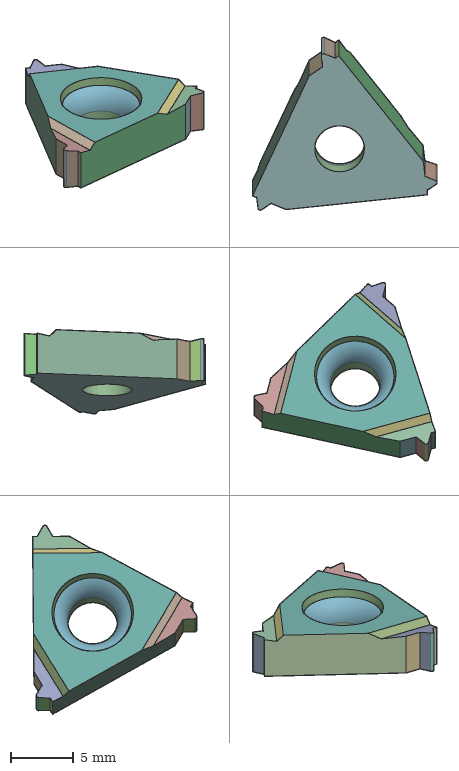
import cadquery as cq
import math

overall_length = 14.84
thickness = 3.65
inscribed_radius = 4.76
corner_count = 3
corner_angle = 360.0 / corner_count

land_distance = 6.55
tooth_offset = 1.0
tooth_flank_angle = math.radians(30)
tooth_tip_radius = 0.2

groove_start = 5.02
groove_depth = 0.53
groove_wall_angle = math.radians(45)
rake_angle = math.radians(10)

bore_radius = 1.99
mouth_radius = 3.26
seat_radius = 3.1
mouth_depth = 0.61
seat_arc_radius = 1.93

turn = math.radians(corner_angle)
top_reach = inscribed_radius * math.sin(turn) - land_distance * math.cos(turn)
tip_distance = overall_length - top_reach


def turned(x, y, angle):
    """Rotate a point about the insert centre, with the angle in degrees."""
    a = math.radians(angle)
    return (x * math.cos(a) - y * math.sin(a), x * math.sin(a) + y * math.cos(a))


def insert_body():
    """Triangular plate with flattened corners, each carrying one rounded tooth."""
    land_start = (inscribed_radius - land_distance * math.sin(turn)) / math.cos(turn)

    tooth_x = inscribed_radius - tooth_offset
    tip_centre = tip_distance - tooth_tip_radius
    tangent_half_width = tooth_tip_radius * math.cos(tooth_flank_angle)
    tangent_y = tip_centre + tooth_tip_radius * math.sin(tooth_flank_angle)
    flank_run = (tangent_y - land_distance) * math.tan(tooth_flank_angle)
    root_half_width = tangent_half_width + flank_run

    outline = cq.Workplane("XY").moveTo(land_start, -land_distance)
    for index in range(corner_count):
        angle = index * corner_angle
        if index > 0:
            outline = outline.lineTo(*turned(land_start, -land_distance, angle))
        outline = (
            outline.lineTo(*turned(tooth_x - root_half_width, -land_distance, angle))
            .lineTo(*turned(tooth_x - tangent_half_width, -tangent_y, angle))
            .threePointArc(
                turned(tooth_x, -tip_distance, angle),
                turned(tooth_x + tangent_half_width, -tangent_y, angle),
            )
            .lineTo(*turned(tooth_x + root_half_width, -land_distance, angle))
            .lineTo(*turned(inscribed_radius, -land_distance, angle))
        )
    return outline.close().extrude(thickness)


def chip_groove():
    """Cutter for one corner: a sloping wall, then a rake face rising to the tooth tip."""
    bottom_distance = groove_start + groove_depth / math.tan(groove_wall_angle)
    bottom_z = thickness - groove_depth
    rake_end = bottom_distance + groove_depth / math.tan(rake_angle)
    return (
        cq.Workplane("YZ")
        .moveTo(-groove_start, thickness)
        .lineTo(-bottom_distance, bottom_z)
        .lineTo(-rake_end, thickness)
        .close()
        .extrude(overall_length, both=True)
    )


def screw_hole():
    """Revolved cutter: conical mouth, rounded seat tangent to a plain bore."""
    arc_centre_r = bore_radius + seat_arc_radius
    seat_z = thickness - mouth_depth
    seat_angle = math.acos((arc_centre_r - seat_radius) / seat_arc_radius)
    bore_top = seat_z - seat_arc_radius * math.sin(seat_angle)
    arc_middle = (
        arc_centre_r - seat_arc_radius * math.cos(seat_angle / 2),
        bore_top + seat_arc_radius * math.sin(seat_angle / 2),
    )
    return (
        cq.Workplane("XZ")
        .lineTo(bore_radius, 0)
        .lineTo(bore_radius, bore_top)
        .threePointArc(arc_middle, (seat_radius, seat_z))
        .lineTo(mouth_radius, thickness)
        .lineTo(0, thickness)
        .close()
        .revolve(360, (0, 0, 0), (0, 1, 0))
    )


result = insert_body().cut(screw_hole())
for corner in range(corner_count):
    groove = chip_groove().rotate((0, 0, 0), (0, 0, 1), corner * corner_angle)
    result = result.cut(groove)